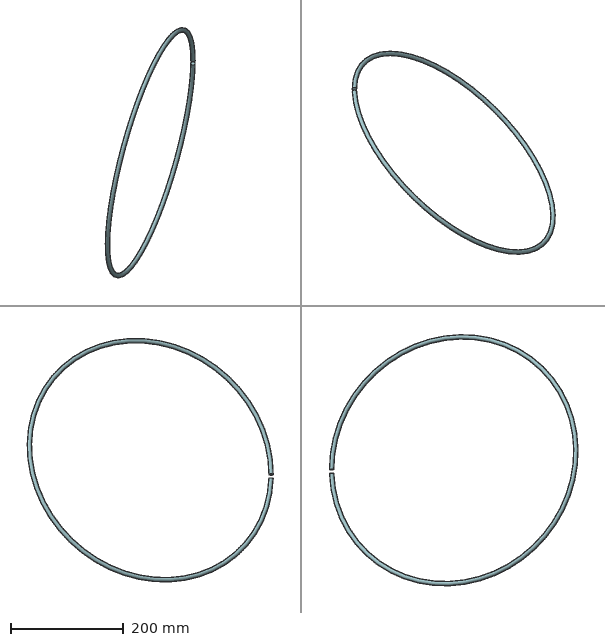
import cadquery as cq

wire_diameter = 8.0
outer_diameter = 458.8
gap_angle = 2.0

centerline_radius = (outer_diameter - wire_diameter) / 2
sweep_angle = 360.0 - gap_angle


def split_ring():
    """Round wire bent about the X axis, open just below the +Y side."""
    section = cq.Workplane("XY").center(0, centerline_radius).circle(wire_diameter / 2)
    axis_start = (0, -centerline_radius)
    axis_end = (1, -centerline_radius)
    return section.revolve(sweep_angle, axis_start, axis_end)


result = split_ring()